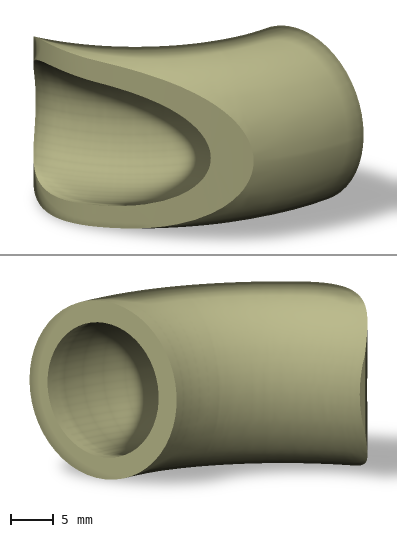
import cadquery as cq
import math

overall_length = 36.65
pipe_diameter = 21.3
wall = 2.6
pipe_radius = pipe_diameter / 2
bore_radius = pipe_radius - wall
bend_radius = overall_length - pipe_radius
bend_angle = 90.0

overall_depth = 24.2
nose_radius = 13.0
nose_center_x = 11.9
nose_center_y = nose_radius - overall_depth
flank_radius = 68.9
blend_angle = 17.3
flank_end_angle = 45.0


def arc_point(center, radius, slope_angle):
    """Point on the lower half of a circle where the tangent has the given slope angle."""
    slope = math.radians(slope_angle)
    return (center[0] + radius * math.sin(slope), center[1] - radius * math.cos(slope))


def bent_rod(radius):
    """Solid quarter bend around the Z axis, from the +X axis to the -Y axis."""
    return (
        cq.Workplane("XZ")
        .center(bend_radius, 0)
        .circle(radius)
        .revolve(bend_angle, (-bend_radius, 0, 0), (-bend_radius, -1, 0))
    )


def trim_block():
    """Prism along Z holding the part of the elbow that stays behind the curved trim."""
    nose_center = (nose_center_x, nose_center_y)
    flank_center = arc_point(nose_center, nose_radius - flank_radius, blend_angle)

    nose_start_angle = -math.degrees(math.asin(nose_center_x / nose_radius))
    nose_start = arc_point(nose_center, nose_radius, nose_start_angle)
    nose_bottom = arc_point(nose_center, nose_radius, 0)
    blend = arc_point(nose_center, nose_radius, blend_angle)
    flank_middle = arc_point(flank_center, flank_radius, (blend_angle + flank_end_angle) / 2)
    flank_end = arc_point(flank_center, flank_radius, flank_end_angle)

    return (
        cq.Workplane("XY")
        .moveTo(0, 0)
        .lineTo(*nose_start)
        .threePointArc(nose_bottom, blend)
        .threePointArc(flank_middle, flank_end)
        .lineTo(flank_end[0], 0)
        .close()
        .extrude(pipe_diameter, both=True)
    )


elbow = bent_rod(pipe_radius).cut(bent_rod(bore_radius))
result = elbow.intersect(trim_block())